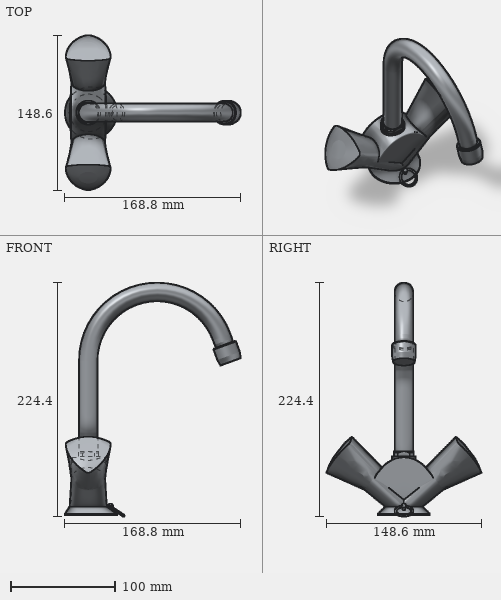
import cadquery as cq
import math

NECK_DIAMETER = 35.9
FLANGE_DIAMETER = 50.0
FLANGE_OFFSET = 2.58
RIM_HEIGHT = 1.3
FLANGE_HEIGHT = 8.3

HANDLE_ANGLE = 38.0
SEAT_WIDTH = 32.5
SEAT_HEIGHT = 27.4
SEAT_Y = 29.4
SEAT_Z = 35.2
HANDLE_LENGTH = 43.0
HANDLE_RISE = 1.0
HANDLE_CORNER_RADIUS = 26.2
HANDLE_SIDE_RADIUS = 18.5
HANDLE_CORNER_FILLET = 4.0
DOME_RADIUS = 71.8
BUTTON_DIAMETER = 18.0

BODY_WIDTH = SEAT_WIDTH
BODY_TOP_Z = 55.5
SHOULDER_Y = 20.2
SHOULDER_Z = 46.6
BODY_EDGE_FILLET = 1.1

PIPE_DIAMETER = 18.0
BEND_RADIUS = 66.0
BEND_START_Z = 148.0
BEND_SWEEP = 160
COLLAR_DIAMETER = 23.0
COLLAR_TOP_Z = 56.5
NUT_WIDTH = 19.3
NUT_CORNER_CUT = 3.8
NUT_TOP_Z = 61.2
NUT_BEVEL_DIAMETER = 23.3
NUT_BEVEL = 2.0

NECK_START = 4.5
NECK_END_DIAMETER = 17.0
AERATOR_DIAMETER = 23.0
AERATOR_START = 7.6
AERATOR_TAPER_START = 19.0
AERATOR_END = 25.1
AERATOR_END_DIAMETER = 20.9
AERATOR_FILLET = 1.0

RING_WIRE_DIAMETER = 2.0
RING_OUTER_DIAMETER = 18.0
RING_TILT = 33.7
RING_CENTER_X = 27.1
RING_CENTER_Z = 4.0
EYE_DIAMETER = 4.7
EYE_INSET = 1.0
EYE_RISE = 0.5
EYE_POST_DIAMETER = 2.7

ring_radius = (RING_OUTER_DIAMETER - RING_WIRE_DIAMETER) / 2
ring_tilt = math.radians(RING_TILT)
handle_angle = math.radians(HANDLE_ANGLE)
handle_axis = cq.Vector(0, math.cos(handle_angle), math.sin(handle_angle))
seat_center = cq.Vector(0, SEAT_Y, SEAT_Z)
seat_plane = cq.Plane(origin=seat_center, xDir=(-1, 0, 0), normal=handle_axis)


def circle_wire(diameter, center, normal):
    return cq.Wire.makeCircle(diameter / 2, center, normal)


def seat_wire():
    """Oval outline of a handle's seat, lying flat at the origin."""
    return cq.Workplane("XY").ellipse(SEAT_WIDTH / 2, SEAT_HEIGHT / 2).wires().val()


def both_sides(shape):
    """Join a shape on the +Y side with its mirror image on the -Y side."""
    return shape.union(shape.mirror("XZ"))


def make_flange():
    rim_center = cq.Vector(FLANGE_OFFSET, 0, RIM_HEIGHT)
    up = cq.Vector(0, 0, 1)
    rim = cq.Workplane("XY").center(FLANGE_OFFSET, 0).circle(FLANGE_DIAMETER / 2).extrude(RIM_HEIGHT)
    cone = cq.Solid.makeLoft([
        circle_wire(FLANGE_DIAMETER, rim_center, up),
        circle_wire(NECK_DIAMETER, cq.Vector(0, 0, FLANGE_HEIGHT), up),
    ], True)
    return rim.union(cq.Workplane(cone))


def make_body():
    """Two round arms from the neck to the handle seats, with a flat-sided block between them."""
    arm = cq.Solid.makeLoft([
        circle_wire(NECK_DIAMETER, cq.Vector(0, 0, FLANGE_HEIGHT), cq.Vector(0, 0, 1)),
        seat_wire().moved(cq.Location(seat_plane)),
    ], True)
    block = (
        cq.Workplane("YZ")
        .moveTo(0, FLANGE_HEIGHT)
        .lineTo(SEAT_Y, SEAT_Z)
        .lineTo(SHOULDER_Y, SHOULDER_Z)
        .threePointArc((0, BODY_TOP_Z), (-SHOULDER_Y, SHOULDER_Z))
        .lineTo(-SEAT_Y, SEAT_Z)
        .close()
        .extrude(BODY_WIDTH / 2, both=True)
        .edges("%CIRCLE")
        .fillet(BODY_EDGE_FILLET)
    )
    return both_sides(cq.Workplane(arm)).union(block)


def make_handle():
    """A handle that grows from an oval seat to a three-cornered, domed end with a flat button."""
    cos_30 = math.cos(math.radians(30))
    half_width = HANDLE_CORNER_RADIUS * cos_30
    corner_height = HANDLE_CORNER_RADIUS / 2
    side_x = HANDLE_SIDE_RADIUS * cos_30
    side_y = -HANDLE_SIDE_RADIUS / 2
    triangle = (
        cq.Workplane("XY")
        .moveTo(0, -HANDLE_CORNER_RADIUS)
        .threePointArc((side_x, side_y), (half_width, corner_height))
        .threePointArc((0, HANDLE_SIDE_RADIUS), (-half_width, corner_height))
        .threePointArc((-side_x, side_y), (0, -HANDLE_CORNER_RADIUS))
        .close()
        .extrude(2.2)
        .edges("|Z")
        .fillet(HANDLE_CORNER_FILLET)
        .faces("<Z")
        .wires()
        .val()
        .moved(cq.Location(cq.Vector(0, HANDLE_RISE, HANDLE_LENGTH)))
    )
    grip = cq.Workplane(cq.Solid.makeLoft([seat_wire(), triangle], True))
    dome_center = (0, HANDLE_RISE, HANDLE_LENGTH - DOME_RADIUS)
    dome = cq.Workplane("XY").sphere(DOME_RADIUS).translate(dome_center)
    button_height = math.sqrt(DOME_RADIUS**2 - (BUTTON_DIAMETER / 2) ** 2) - DOME_RADIUS + HANDLE_LENGTH
    below_button = cq.Workplane("XY").circle(FLANGE_DIAMETER).extrude(button_height)
    handle = grip.intersect(dome).intersect(below_button)
    return cq.Workplane(handle.val().moved(cq.Location(seat_plane)))


def make_nut():
    """Round collar under a square nut with cut corners and a bevelled top."""
    foot = cq.Workplane("XY").workplane(offset=SHOULDER_Z)
    nut_height = NUT_TOP_Z - SHOULDER_Z
    collar = foot.circle(COLLAR_DIAMETER / 2).extrude(COLLAR_TOP_Z - SHOULDER_Z)
    nut = foot.rect(NUT_WIDTH, NUT_WIDTH).extrude(nut_height).edges("|Z").chamfer(NUT_CORNER_CUT)
    bevel = foot.circle(NUT_BEVEL_DIAMETER / 2).extrude(nut_height).faces(">Z").chamfer(NUT_BEVEL)
    return collar.union(nut.intersect(bevel))


def make_spout():
    riser = (
        cq.Workplane("XY")
        .workplane(offset=SHOULDER_Z)
        .circle(PIPE_DIAMETER / 2)
        .extrude(BEND_START_Z - SHOULDER_Z)
    )
    bend = (
        cq.Workplane("XY")
        .workplane(offset=BEND_START_Z)
        .circle(PIPE_DIAMETER / 2)
        .revolve(BEND_SWEEP, (BEND_RADIUS, 0), (BEND_RADIUS, 1))
    )
    return riser.union(bend)


def make_aerator():
    """Turned end piece, revolved about the outflow direction at the end of the bend."""
    end_angle = math.radians(180 - BEND_SWEEP)
    end_plane = cq.Plane(
        origin=(BEND_RADIUS * (1 + math.cos(end_angle)), 0, BEND_START_Z + BEND_RADIUS * math.sin(end_angle)),
        xDir=(math.cos(end_angle), 0, math.sin(end_angle)),
        normal=(0, 1, 0),
    )
    outline = [
        (0, 0),
        (PIPE_DIAMETER / 2, 0),
        (PIPE_DIAMETER / 2, NECK_START),
        (NECK_END_DIAMETER / 2, AERATOR_START),
        (AERATOR_DIAMETER / 2 - AERATOR_FILLET, AERATOR_START),
        (AERATOR_DIAMETER / 2, AERATOR_START + AERATOR_FILLET),
        (AERATOR_DIAMETER / 2, AERATOR_TAPER_START),
        (AERATOR_END_DIAMETER / 2, AERATOR_END),
        (0, AERATOR_END),
    ]
    return cq.Workplane(end_plane).polyline(outline).close().revolve(360, (0, 0), (0, 1))


def make_ring():
    center = cq.Vector(RING_CENTER_X, 0, RING_CENTER_Z)
    axis = cq.Vector(math.sin(ring_tilt), 0, math.cos(ring_tilt))
    return cq.Workplane(cq.Solid.makeTorus(ring_radius, RING_WIRE_DIAMETER / 2, center, axis))


def make_eye():
    """Ball on a short post that stands on the flange, around the upper end of the ring."""
    eye_x = RING_CENTER_X - ring_radius * math.cos(ring_tilt) + EYE_INSET
    eye_z = RING_CENTER_Z + ring_radius * math.sin(ring_tilt) + EYE_RISE
    ball = cq.Workplane("XY").sphere(EYE_DIAMETER / 2).translate((eye_x, 0, eye_z))
    post = cq.Workplane("XY").center(eye_x, 0).circle(EYE_POST_DIAMETER / 2).extrude(eye_z)
    return ball.union(post)


ring = make_ring()
faucet = (
    make_flange()
    .union(make_body())
    .union(both_sides(make_handle()))
    .union(make_nut())
    .union(make_spout())
    .union(make_aerator())
    .union(make_eye())
    .cut(ring)
)

result = cq.Compound.makeCompound([faucet.val(), ring.val()])